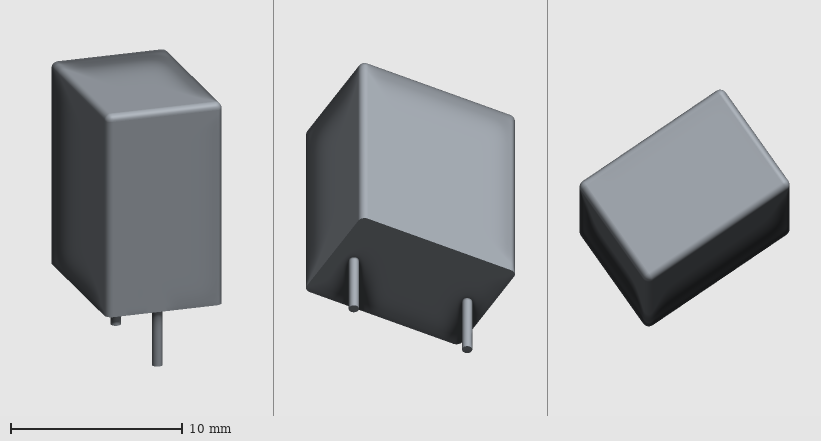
import cadquery as cq

total_height = 16.3
case_length = 10.3
case_width = 7.2
edge_radius = 0.4

lead_length = 3.8
lead_diameter = 0.6
lead_spacing = 7.5

case_height = total_height - lead_length


def make_case():
    """Box standing on Z = 0, rounded on every edge except those of its flat base."""
    box = cq.Workplane("XY").box(case_length, case_width, case_height, centered=(True, True, False))
    return box.edges("|Z or >Z").fillet(edge_radius)


def make_lead(x):
    """Straight round wire hanging from the base of the case at the given X."""
    return cq.Workplane("XY").center(x, 0).circle(lead_diameter / 2).extrude(-lead_length)


case = make_case()
leads = [make_lead(side * lead_spacing / 2) for side in (-1, 1)]

result = cq.Compound.makeCompound([case.val(), *[lead.val() for lead in leads]])